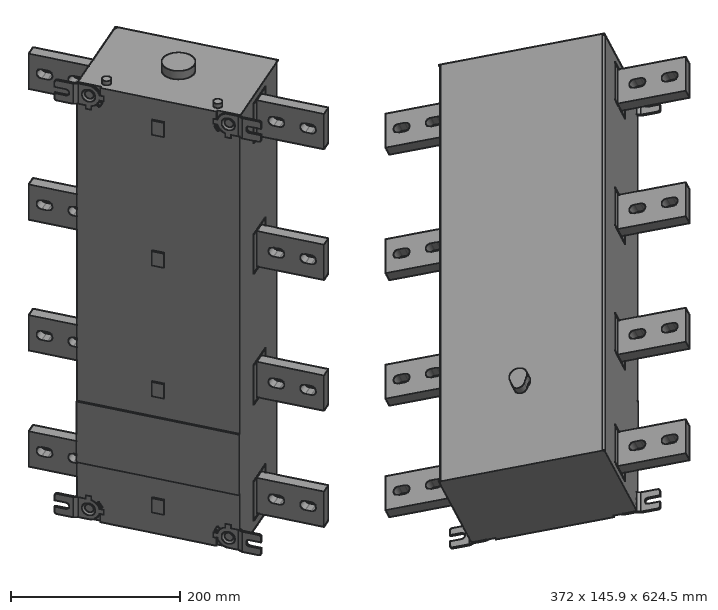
import cadquery as cq
import math

BODY_WIDTH = 205.0
BODY_DEPTH = 130.0
BODY_HEIGHT = 612.5
OVERALL_WIDTH = 372.0
OVERALL_DEPTH = 145.9
FRONT_PROJECTION = 2.4

BEVEL_DEPTH = 4.4
BEVEL_INSET = 2.6
END_WALL = 0.8

BAR_CENTRES_Z = (573.0, 388.6, 204.2, 40.4)
BAR_HEIGHT = 50.0
BAR_THICKNESS = 15.0
BAR_CENTRE_Y = 68.0
SLOT_LENGTH = 20.0
SLOT_HEIGHT = 12.5
SLOT_END_DISTANCES = (20.0, 60.0)
RECESS_HEIGHT = 55.5
RECESS_WIDTH = 40.0
RECESS_DEPTH = 1.0

COVER_BOTTOM_Z = 79.5
COVER_TOP_Z = 165.0
TAB_WIDTH = 15.0
TAB_HEIGHT = 20.0

BOSS_DIAMETER = 40.0
BOSS_HEIGHT = 12.0
PIN_DIAMETER = 11.0
PIN_HEIGHT = 6.0
PIN_X = 70.0
PIN_Y = 12.8

KNOB_Z = 123.0
KNOB_RADIUS = 11.0
KNOB_TIP_RADIUS = 8.0
KNOB_TIP_OFFSET = 10.0
KNOB_BASE_HEIGHT = 2.5
KNOB_HEIGHT = OVERALL_DEPTH - BODY_DEPTH - FRONT_PROJECTION

BRACKET_X = 88.0
BRACKET_TOP_Z = 598.0
BRACKET_BOTTOM_Z = 14.8
BRACKET_HALF_HEIGHT = 14.2
BRACKET_THICKNESS = 2.8
BRACKET_SINK = 0.2
LUG_END = 42.0
LUG_SLOT_BOTTOM = 23.4
BEND_OUTER = 18.3
BEND_INNER = 12.8
LUG_SLOT_WIDTH = 9.0
LUG_CORNER_RADIUS = 3.0
COUNTERSINK_RADIUS = 8.5
SOCKET_RADIUS = 5.5
COUNTERSINK_DEPTH = 2.3

POCKET_DEPTH = BRACKET_THICKNESS + BRACKET_SINK
POCKET_INNER_REACH = 14.8
KEY_REACH = 19.0
KEY_WIDTH = 7.0
ARC_OUTER_RADIUS = 18.5
ARC_START_ANGLE = 20.0
ARC_END_ANGLE = 45.0


def box(x_range, y_range, z_range):
    """Axis-aligned block between the given limits."""
    size = [high - low for low, high in (x_range, y_range, z_range)]
    corner = (x_range[0], y_range[0], z_range[0])
    return cq.Workplane("XY").box(*size, centered=False).translate(corner)


def centred(centre, size):
    """Limits of a stretch of the given size about its centre."""
    return (centre - size / 2, centre + size / 2)


def upright_cylinder(x, y, diameter, height):
    """Cylinder standing on the top face."""
    top = cq.Workplane("XY", origin=(x, y, BODY_HEIGHT))
    return top.circle(diameter / 2).extrude(height)


def front_plane(y=0.0):
    """XZ sketch plane at the given Y; negative extrusion runs toward +Y."""
    return cq.Workplane(cq.Plane(origin=(0, y, 0), xDir=(1, 0, 0), normal=(0, -1, 0)))


def make_body():
    """Enclosure block with bevelled rear side edges."""
    half = BODY_WIDTH / 2
    body = box((-half, half), (0, BODY_DEPTH), (0, BODY_HEIGHT))
    bevel = (
        cq.Workplane("XY", origin=(0, 0, END_WALL))
        .moveTo(half, BODY_DEPTH - BEVEL_DEPTH)
        .lineTo(half, BODY_DEPTH)
        .lineTo(half - BEVEL_INSET, BODY_DEPTH)
        .close()
        .extrude(BODY_HEIGHT - 2 * END_WALL)
    )
    return body.cut(bevel).cut(bevel.mirror("YZ"))


def add_busbar(body, z):
    """Slotted bar through both side walls, with a shallow recess around each exit."""
    half = BODY_WIDTH / 2
    y_recess = centred(BAR_CENTRE_Y, RECESS_WIDTH)
    z_recess = centred(z, RECESS_HEIGHT)
    body = body.cut(box((-half, -half + RECESS_DEPTH), y_recess, z_recess))
    body = body.cut(box((half - RECESS_DEPTH, half), y_recess, z_recess))

    y_bar = centred(BAR_CENTRE_Y, BAR_THICKNESS)
    bar = box(centred(0, OVERALL_WIDTH), y_bar, centred(z, BAR_HEIGHT))
    slot_x = [OVERALL_WIDTH / 2 - distance for distance in SLOT_END_DISTANCES]
    slot_centres = [(side * x, z) for side in (-1, 1) for x in slot_x]
    slots = (
        front_plane(y_bar[0])
        .pushPoints(slot_centres)
        .slot2D(SLOT_LENGTH, SLOT_HEIGHT)
        .extrude(-BAR_THICKNESS)
    )
    return body.union(bar.cut(slots))


def add_front_panels(body):
    """Cover across the front and one indicator tab per busbar."""
    y_range = (-FRONT_PROJECTION, 0)
    cover = box(centred(0, BODY_WIDTH), y_range, (COVER_BOTTOM_Z, COVER_TOP_Z))
    body = body.union(cover)
    for z in BAR_CENTRES_Z:
        tab = box(centred(0, TAB_WIDTH), y_range, centred(z, TAB_HEIGHT))
        body = body.union(tab)
    return body


def make_knob():
    """Round core with a teardrop grip that starts clear of the rear face."""
    core = front_plane(BODY_DEPTH).center(0, KNOB_Z).circle(KNOB_RADIUS).extrude(-KNOB_HEIGHT)
    sine = (KNOB_RADIUS - KNOB_TIP_RADIUS) / KNOB_TIP_OFFSET
    cosine = math.sqrt(1 - sine**2)
    tip_z = KNOB_Z - KNOB_TIP_OFFSET
    head_side = (KNOB_RADIUS * cosine, KNOB_Z - KNOB_RADIUS * sine)
    tip_side = (KNOB_TIP_RADIUS * cosine, tip_z - KNOB_TIP_RADIUS * sine)
    grip = (
        front_plane(BODY_DEPTH + KNOB_BASE_HEIGHT)
        .moveTo(-head_side[0], head_side[1])
        .threePointArc((0, KNOB_Z + KNOB_RADIUS), head_side)
        .lineTo(*tip_side)
        .threePointArc((0, tip_z - KNOB_TIP_RADIUS), (-tip_side[0], tip_side[1]))
        .close()
        .extrude(-(KNOB_HEIGHT - KNOB_BASE_HEIGHT))
    )
    return core.union(grip)


def make_inner_plate():
    """Plate around the screw: round inner end and two keys, with X pointing inward."""
    y_range = (BRACKET_SINK, POCKET_DEPTH)
    radius = BRACKET_HALF_HEIGHT
    plate = box((-BEND_INNER, 0), y_range, (-radius, radius))
    plate = plate.union(front_plane(BRACKET_SINK).circle(radius).extrude(-BRACKET_THICKNESS))
    plate = plate.union(box((0, KEY_REACH), y_range, centred(0, KEY_WIDTH)))
    return plate.union(box(centred(0, KEY_WIDTH), y_range, (-KEY_REACH, 0)))


def make_bracket():
    """Top-left corner bracket about its screw centre."""
    rear = POCKET_DEPTH
    jog = FRONT_PROJECTION + BRACKET_SINK
    arm = (
        cq.Workplane("XY", origin=(0, 0, -BRACKET_HALF_HEIGHT))
        .moveTo(-LUG_END, -FRONT_PROJECTION)
        .lineTo(-BEND_OUTER, -FRONT_PROJECTION)
        .lineTo(-BEND_INNER, BRACKET_SINK)
        .lineTo(-BEND_INNER, rear)
        .lineTo(-BEND_OUTER, rear - jog)
        .lineTo(-LUG_END, rear - jog)
        .close()
        .extrude(2 * BRACKET_HALF_HEIGHT)
    )
    arm = arm.edges("|Y").edges("<X").fillet(LUG_CORNER_RADIUS)
    slot_length = 2 * (LUG_END - LUG_SLOT_BOTTOM)
    slot = (
        front_plane(-FRONT_PROJECTION)
        .center(-LUG_END, 0)
        .slot2D(slot_length, LUG_SLOT_WIDTH)
        .extrude(-BRACKET_THICKNESS)
    )
    countersink = (
        front_plane(BRACKET_SINK)
        .circle(COUNTERSINK_RADIUS)
        .workplane(offset=-COUNTERSINK_DEPTH)
        .circle(SOCKET_RADIUS)
        .loft(combine=True)
    )
    return arm.cut(slot).union(make_inner_plate()).cut(countersink)


def make_pocket(end_margin):
    """Pocket of the top-left bracket, open to the side and to the body end."""
    y_range = (0, POCKET_DEPTH)
    side = BODY_WIDTH / 2 - BRACKET_X
    pocket = box((-side, POCKET_INNER_REACH), y_range, (0, end_margin))
    pocket = pocket.union(box((-side, 0), y_range, (-BRACKET_HALF_HEIGHT, 0)))
    pocket = pocket.union(front_plane().circle(BRACKET_HALF_HEIGHT).extrude(-POCKET_DEPTH))

    def on_circle(radius, degrees):
        angle = math.radians(-degrees)
        return (radius * math.cos(angle), radius * math.sin(angle))

    middle = (ARC_START_ANGLE + ARC_END_ANGLE) / 2
    arc_middle = on_circle(ARC_OUTER_RADIUS, middle)
    arc_end = on_circle(ARC_OUTER_RADIUS, ARC_END_ANGLE)
    sector = (
        front_plane()
        .moveTo(0, 0)
        .lineTo(*on_circle(ARC_OUTER_RADIUS, ARC_START_ANGLE))
        .threePointArc(arc_middle, arc_end)
        .close()
        .extrude(-POCKET_DEPTH)
    )
    keys = make_inner_plate().translate((0, -BRACKET_SINK, 0))
    return pocket.union(sector).union(keys)


def add_brackets(body):
    """Pocket and bracket at each of the four front corners."""
    bracket = make_bracket()
    corners = (
        (BRACKET_TOP_Z, BODY_HEIGHT - BRACKET_TOP_Z, False),
        (BRACKET_BOTTOM_Z, BRACKET_BOTTOM_Z, True),
    )
    for z, end_margin, upside_down in corners:
        pocket = make_pocket(end_margin)
        corner_bracket = bracket
        if upside_down:
            pocket = pocket.mirror("XY")
            corner_bracket = bracket.mirror("XY")
        pocket = pocket.translate((-BRACKET_X, 0, z))
        corner_bracket = corner_bracket.translate((-BRACKET_X, 0, z))
        body = body.cut(pocket).cut(pocket.mirror("YZ"))
        body = body.union(corner_bracket).union(corner_bracket.mirror("YZ"))
    return body


result = make_body()
for bar_z in BAR_CENTRES_Z:
    result = add_busbar(result, bar_z)
result = add_front_panels(result)
result = result.union(upright_cylinder(0, BAR_CENTRE_Y, BOSS_DIAMETER, BOSS_HEIGHT))
for pin_side in (-1, 1):
    result = result.union(upright_cylinder(pin_side * PIN_X, PIN_Y, PIN_DIAMETER, PIN_HEIGHT))
result = result.union(make_knob())
result = add_brackets(result)